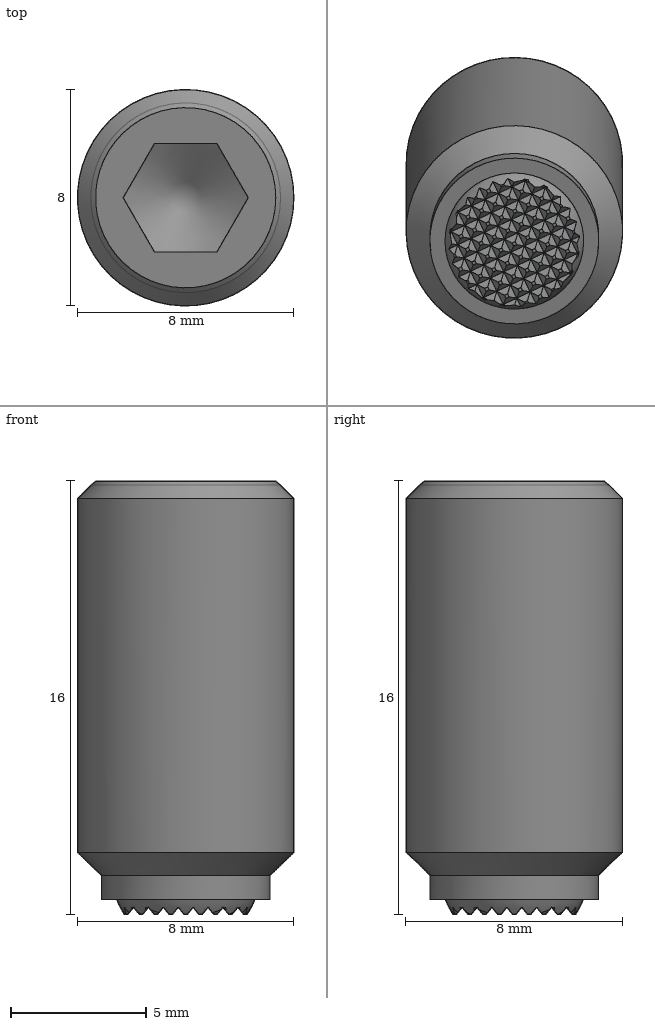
import cadquery as cq
import math

total_length = 16.0
thread_diameter = 8.0

top_face_diameter = 6.65
bevel_diameter = 7.0
bevel_height = 0.15
chamfer_bottom_z = 15.36

collar_diameter = 6.24
collar_end_z = 0.55
collar_top_z = 1.44
lower_cone_top_z = 2.29

hex_sides = 6
hex_across_flats = 4.0
hex_depth = 5.0
socket_cone_angle = 120.0

ball_diameter = 5.5
ball_mouth_diameter = 5.12
tooth_pitch = ball_diameter / 10
tooth_tip_width = 0.13
tooth_height = 0.25
tooth_count = 9

thread_radius = thread_diameter / 2
collar_radius = collar_diameter / 2
ball_radius = ball_diameter / 2
ball_mouth_radius = ball_mouth_diameter / 2
ball_center_z = collar_end_z + math.sqrt(ball_radius**2 - ball_mouth_radius**2)
z_axis = ((0, 0, 0), (0, 1, 0))


def make_sphere():
    """Full sphere that shapes both the ball and its seat in the screw."""
    return cq.Workplane("XY").sphere(ball_radius).translate((0, 0, ball_center_z))


def make_hex_socket():
    """Hexagonal hole from the top face, ending in a conical floor."""
    corner_diameter = hex_across_flats / math.cos(math.pi / hex_sides)
    corner_radius = corner_diameter / 2
    cone_depth = corner_radius / math.tan(math.radians(socket_cone_angle / 2))
    floor_z = total_length - hex_depth
    tip_z = floor_z - cone_depth

    hexagon = (
        cq.Workplane("XY")
        .workplane(offset=tip_z)
        .polygon(hex_sides, corner_diameter)
        .extrude(hex_depth + cone_depth)
    )
    pointed_round = (
        cq.Workplane("XZ")
        .moveTo(0, tip_z)
        .lineTo(corner_radius, floor_z)
        .lineTo(corner_radius, total_length)
        .lineTo(0, total_length)
        .close()
        .revolve(360, *z_axis)
    )
    return hexagon.intersect(pointed_round)


def make_screw():
    """Headless screw with chamfered ends, a hexagon socket and a ball seat."""
    body = (
        cq.Workplane("XZ")
        .moveTo(0, collar_end_z)
        .lineTo(collar_radius, collar_end_z)
        .lineTo(collar_radius, collar_top_z)
        .lineTo(thread_radius, lower_cone_top_z)
        .lineTo(thread_radius, chamfer_bottom_z)
        .lineTo(bevel_diameter / 2, total_length - bevel_height)
        .lineTo(top_face_diameter / 2, total_length)
        .lineTo(0, total_length)
        .close()
        .revolve(360, *z_axis)
    )
    return body.cut(make_hex_socket()).cut(make_sphere())


def make_groove(center_x):
    """V groove along Y, open at the flat of the ball."""
    half_width = (tooth_pitch - tooth_tip_width) / 2
    return (
        cq.Workplane("XZ")
        .moveTo(center_x - half_width, 0)
        .lineTo(center_x, tooth_height)
        .lineTo(center_x + half_width, 0)
        .close()
        .extrude(ball_radius, both=True)
    )


def make_ball():
    """Ball flattened at z = 0, with crossed V grooves that leave blunt teeth."""
    above_flat = cq.Workplane("XY").box(
        ball_diameter, ball_diameter, ball_center_z + ball_radius, centered=(True, True, False)
    )
    ball = make_sphere().intersect(above_flat)
    groove_count = tooth_count - 1
    first_groove_x = -(groove_count - 1) / 2 * tooth_pitch
    for index in range(groove_count):
        groove = make_groove(first_groove_x + index * tooth_pitch)
        ball = ball.cut(groove)
        ball = ball.cut(groove.rotate((0, 0, 0), (0, 0, 1), 90))
    return ball


screw = make_screw()
ball = make_ball()
result = cq.Compound.makeCompound([screw.val(), ball.val()])